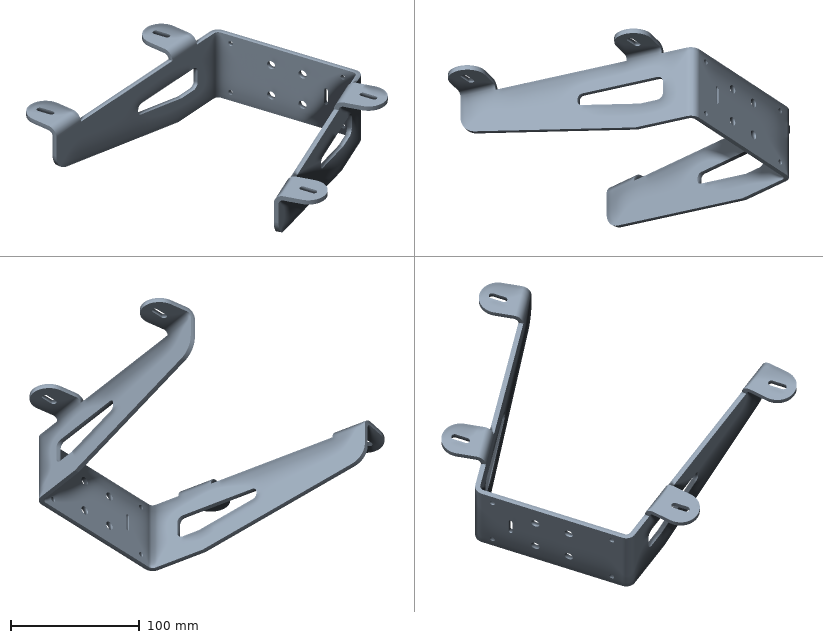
import cadquery as cq
import math

thickness = 4.0
inner_radius = 4.0
outer_radius = inner_radius + thickness

wall_height = 60.0
mid_height = wall_height / 2
back_flat_width = 118.0
back_flat_half = back_flat_width / 2
corner_hole_diameter = 4.2
corner_hole_spacing_x = 100.0
corner_hole_spacing_z = 45.0
centre_hole_diameter = 7.0
centre_hole_spacing = 28.0
back_slot_x = 34.8
back_slot_length = 15.0
back_slot_width = 3.2

splay = math.radians(10)
bend_angle = math.pi / 2 - splay
bend_setback = outer_radius * math.tan(bend_angle / 2)
arm_length = 201.0
arm_end_height = 30.0
taper_start = 50.6
taper_slope = (wall_height - arm_end_height) / (arm_length - taper_start)
arm_tip_radius = 15.0

window_start = 27.0
window_end = 100.2
window_bottom = 20.0
window_top = wall_height - window_bottom
window_taper_start = 46.7
window_end_bottom = window_bottom + taper_slope * (window_end - window_taper_start)
window_radius = 5.0
window_tip_radius = 4.0

tab_radius = 15.0
tab_width = 2 * tab_radius
tab_reach = 19.3
tab_spacing = 143.0
tab_slot_length = 15.0
tab_slot_width = 5.0
last_tab = arm_length - tab_radius
tab_positions = (last_tab - tab_spacing, last_tab)
tab_top = wall_height + outer_radius

along = cq.Vector(math.sin(splay), -math.cos(splay), 0)
outward = cq.Vector(math.cos(splay), math.sin(splay), 0)
sharp_corner = cq.Vector(back_flat_half + bend_setback, 0, 0)


def back_half():
    """+X half of the back plate together with its corner bend."""
    def on_bend(radius, angle):
        return (
            back_flat_half + radius * math.cos(angle),
            -outer_radius + radius * math.sin(angle),
        )

    middle = splay + bend_angle / 2
    return (
        cq.Workplane("XY")
        .moveTo(0, 0)
        .lineTo(back_flat_half, 0)
        .threePointArc(on_bend(outer_radius, middle), on_bend(outer_radius, splay))
        .lineTo(*on_bend(inner_radius, splay))
        .threePointArc(on_bend(inner_radius, middle), (back_flat_half, -thickness))
        .lineTo(0, -thickness)
        .close()
        .extrude(wall_height)
    )


def arm():
    """Tapered flat arm with a rounded tip and a window."""
    plane = cq.Plane(origin=sharp_corner, xDir=along, normal=-outward)
    plate = (
        cq.Workplane(plane)
        .polyline([
            (bend_setback, 0),
            (taper_start, 0),
            (arm_length, arm_end_height),
            (arm_length, wall_height),
            (bend_setback, wall_height),
        ])
        .close()
        .extrude(thickness)
    )
    tip = sharp_corner + along * arm_length + cq.Vector(0, 0, arm_end_height)
    tip_edge = cq.selectors.NearestToPointSelector((tip - outward * (thickness / 2)).toTuple())
    plate = plate.edges(tip_edge).fillet(arm_tip_radius)

    window = (
        cq.Workplane(plane)
        .polyline([
            (window_start, window_bottom),
            (window_taper_start, window_bottom),
            (window_end, window_end_bottom),
            (window_end, window_top),
            (window_start, window_top),
        ])
        .close()
        .extrude(thickness)
    )
    for position, height, radius in (
        (window_start, window_bottom, window_radius),
        (window_end, window_end_bottom, window_tip_radius),
        (window_end, window_top, window_tip_radius),
        (window_start, window_top, window_radius),
    ):
        corner = plane.toWorldCoords((position, height, thickness / 2))
        corner_edge = cq.selectors.NearestToPointSelector(corner.toTuple())
        window = window.edges(corner_edge).fillet(radius)
    return plate.cut(window)


def tab(position):
    """Outward-bent mounting tab with a round end and a slot along X."""
    root = sharp_corner + along * position
    diagonal = math.sqrt(0.5)

    def on_bend(radius):
        return (inner_radius - radius * diagonal, wall_height + radius * diagonal)

    strip = (
        cq.Workplane(cq.Plane(origin=root, xDir=outward, normal=along))
        .moveTo(-thickness, wall_height)
        .threePointArc(on_bend(outer_radius), (inner_radius, tab_top))
        .lineTo(tab_reach, tab_top)
        .lineTo(tab_reach, tab_top - thickness)
        .lineTo(inner_radius, tab_top - thickness)
        .threePointArc(on_bend(inner_radius), (0, wall_height))
        .close()
        .extrude(tab_width / 2, both=True)
    )
    centre = root + outward * tab_reach
    end_plane = cq.Workplane("XY", origin=(centre.x, centre.y, tab_top))
    round_end = end_plane.circle(tab_radius).extrude(-thickness)
    slot = end_plane.slot2D(tab_slot_length, tab_slot_width).extrude(-thickness)
    return strip.union(round_end).cut(slot)


def back_openings():
    """Cutters for the holes and the upright slot in the back plate."""
    face = cq.Workplane("XZ", origin=(0, 0, mid_height))
    corner_holes = (
        face.rect(corner_hole_spacing_x, corner_hole_spacing_z, forConstruction=True)
        .vertices()
        .circle(corner_hole_diameter / 2)
        .extrude(thickness)
    )
    centre_holes = (
        face.rect(centre_hole_spacing, centre_hole_spacing, forConstruction=True)
        .vertices()
        .circle(centre_hole_diameter / 2)
        .extrude(thickness)
    )
    slot = face.center(back_slot_x, 0).slot2D(back_slot_length, back_slot_width, 90).extrude(thickness)
    return corner_holes.union(centre_holes).union(slot)


half = back_half().union(arm())
for tab_position in tab_positions:
    half = half.union(tab(tab_position))

bracket = half.union(half.mirror("YZ"))
result = bracket.cut(back_openings())